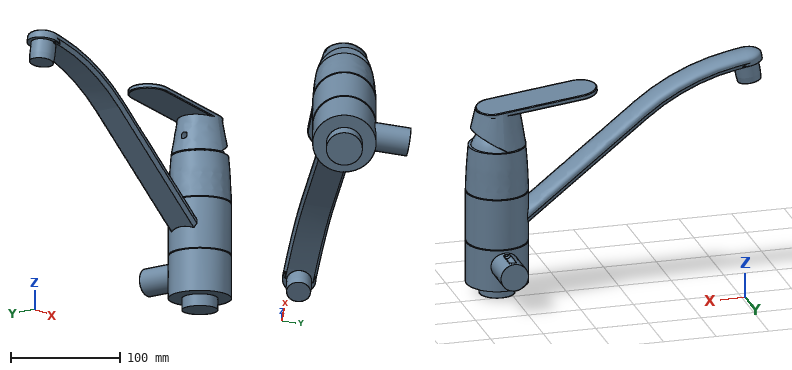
import cadquery as cq
import math


REACH = 251.41
OVERALL_HEIGHT = 212.99
OUTLET_REACH = 59.57

SHANK_DIAMETER = 33.0
BODY_DIAMETER = 58.0
SHOULDER_DIAMETER = 53.0
BASE_Z = 11.0
LOWER_GROOVE_Z = 51.3
UPPER_GROOVE_Z = 100.3
SHOULDER_Z = 144.4
BARREL_BULGE = 0.35
GROOVE_WIDTH = 0.8
GROOVE_DEPTH = 0.5
DOME_RADIUS = 25.2
DOME_CENTER_Z = 136.6

OUTLET_DIAMETER = 26.0
OUTLET_Z = 35.4
SLOT_DIAMETER = 6.5
SLOT_LENGTH = 22.5
SLOT_CENTER_Y = 43.7
SLOT_END_TAPER = 1.5

SPOUT_WIDTH = 30.6
SPOUT_CROWN = 6.0
SPOUT_BELLY = 6.0
SPOUT_SIDE = 2.0
SPOUT_FLAT_WIDTH = 25.6
SPOUT_TIP_ANGLE = 10.0
SPOUT_ROOT_ANGLE = 38.3
SPOUT_TIP_LENGTH = 11.0
SPOUT_BEND_RADIUS = 199.0
SPOUT_ROOT_X = -17.0
FLARE_START_X = -63.0
FLARE_RADIUS = 72.0
FLARE_STEPS = 4

CAP_RADIUS = SPOUT_WIDTH / 2
CAP_BASE_Z = 201.7
AERATOR_DIAMETER = 23.0
AERATOR_LENGTH = 18.7
AERATOR_RIM_LENGTH = 5.7
AERATOR_END_DIAMETER = 22.0

LEVER_ANGLE = 7.0
LEVER_TIP_X = -94.0
LEVER_END_X = 19.5
LEVER_TIP_Z = 193.7
LEVER_WIDTH = 40.5
LEVER_THICKNESS = 4.6
LEVER_TIP_ROUND = 18.0
LEVER_HEEL_ROUND = 15.5
LEVER_EDGE = 0.8
HUB_BASE_Z = 145.6
HUB_BASE_RADIUS = 26.5
HUB_REAR_REACH = 27.8
HUB_FRONT_TAPER = 0.17
HUB_REAR_TAPER = 0.235
HUB_RELIEF_X = -2.3
HUB_RELIEF_ANGLE = 30.0
SCREW_HOLE_DIAMETER = 6.5
SCREW_HOLE_Z = 160.3
SCREW_HOLE_DEPTH = 8.0


def make_body():
    """Revolved shank, body and barrel with two grooves, topped by a dome."""
    shank_r = SHANK_DIAMETER / 2
    body_r = BODY_DIAMETER / 2
    shoulder_r = SHOULDER_DIAMETER / 2
    barrel_mid = ((body_r + shoulder_r) / 2 + BARREL_BULGE, (UPPER_GROOVE_Z + SHOULDER_Z) / 2)
    body = (
        cq.Workplane("XZ")
        .lineTo(shank_r, 0)
        .lineTo(shank_r, BASE_Z)
        .lineTo(body_r, BASE_Z)
        .lineTo(body_r, UPPER_GROOVE_Z)
        .threePointArc(barrel_mid, (shoulder_r, SHOULDER_Z))
        .lineTo(0, SHOULDER_Z)
        .close()
        .revolve(360, (0, 0), (0, 1))
    )
    for groove_z in (LOWER_GROOVE_Z, UPPER_GROOVE_Z):
        groove = (
            cq.Workplane("XY", origin=(0, 0, groove_z - GROOVE_WIDTH / 2))
            .circle(body_r + GROOVE_DEPTH)
            .circle(body_r - GROOVE_DEPTH)
            .extrude(GROOVE_WIDTH)
        )
        body = body.cut(groove)
    dome = cq.Workplane("XY", origin=(0, 0, DOME_CENTER_Z)).sphere(DOME_RADIUS)
    return body.union(dome)


def make_outlet():
    """Side outlet toward +Y with a round-bottomed slot along its top."""
    outlet = (
        cq.Workplane("XZ", origin=(0, 0, OUTLET_Z))
        .circle(OUTLET_DIAMETER / 2)
        .extrude(-OUTLET_REACH)
    )
    slot_r = SLOT_DIAMETER / 2
    edge_height = math.sqrt((OUTLET_DIAMETER / 2) ** 2 - slot_r ** 2)
    slot = (
        cq.Workplane("XZ", origin=(0, SLOT_CENTER_Y - SLOT_LENGTH / 2, OUTLET_Z + edge_height))
        .circle(slot_r)
        .extrude(-SLOT_LENGTH)
        .edges("%CIRCLE")
        .chamfer(SLOT_END_TAPER)
    )
    return outlet.cut(slot)


def direction(angle):
    """Unit XZ vector running toward +X and falling at the given angle."""
    return math.cos(math.radians(angle)), -math.sin(math.radians(angle))


def bend_point(start, angle):
    """Point of the spout bend where it falls at the given angle."""
    start_cos, start_fall = direction(SPOUT_TIP_ANGLE)
    end_cos, end_fall = direction(angle)
    return (
        start[0] + SPOUT_BEND_RADIUS * (start_fall - end_fall),
        start[1] + SPOUT_BEND_RADIUS * (end_cos - start_cos),
    )


def draw_crown(outline, crown):
    """Half ellipse from the right end of the widest line over to its left end."""
    return outline.ellipseArc(CAP_RADIUS, crown, 0, 180, startAtCurrent=True)


def section_plane(center, angle):
    """Plane across the spout, with local X along Y and local Y upward."""
    dx, dz = direction(angle)
    return cq.Plane(origin=(center[0], 0, center[1]), xDir=(0, 1, 0), normal=(dx, 0, dz))


def crown_section(center, crown):
    """Closed crown wire across the straight arm, flat side on its widest line."""
    outline = cq.Workplane(section_plane(center, SPOUT_ROOT_ANGLE)).moveTo(CAP_RADIUS, 0)
    return draw_crown(outline, crown).close().val()


TIP_COS, TIP_FALL = direction(SPOUT_TIP_ANGLE)
TIP_SIN = -TIP_FALL
CAP_BASE_X = CAP_RADIUS * TIP_COS - REACH
CAP_DOME_RISE = math.hypot(CAP_RADIUS * TIP_SIN, SPOUT_CROWN * TIP_COS)
CAP_RIM_HEIGHT = (OVERALL_HEIGHT - CAP_BASE_Z - CAP_DOME_RISE) / TIP_COS


def make_spout():
    """Bent spout arm whose crown flares upward where it meets the body."""
    tip = (CAP_BASE_X + CAP_RIM_HEIGHT * TIP_SIN, CAP_BASE_Z + CAP_RIM_HEIGHT * TIP_COS)
    bend_start = (tip[0] + SPOUT_TIP_LENGTH * TIP_COS, tip[1] - SPOUT_TIP_LENGTH * TIP_SIN)
    mid_angle = (SPOUT_TIP_ANGLE + SPOUT_ROOT_ANGLE) / 2
    bend_mid = bend_point(bend_start, mid_angle)
    bend_end = bend_point(bend_start, SPOUT_ROOT_ANGLE)
    slope = math.tan(math.radians(SPOUT_ROOT_ANGLE))

    def arm_point(x):
        return x, bend_end[1] - slope * (x - bend_end[0])

    path = (
        cq.Workplane("XZ")
        .moveTo(*tip)
        .lineTo(*bend_start)
        .threePointArc(bend_mid, bend_end)
        .lineTo(*arm_point(SPOUT_ROOT_X))
    )
    flat_half = SPOUT_FLAT_WIDTH / 2
    section = cq.Workplane(section_plane(tip, SPOUT_TIP_ANGLE)).moveTo(CAP_RADIUS, 0)
    arm = (
        draw_crown(section, SPOUT_CROWN)
        .lineTo(-CAP_RADIUS, -SPOUT_SIDE)
        .lineTo(-flat_half, -SPOUT_BELLY)
        .lineTo(flat_half, -SPOUT_BELLY)
        .lineTo(CAP_RADIUS, -SPOUT_SIDE)
        .close()
        .sweep(path)
    )

    flare_length = (SPOUT_ROOT_X - FLARE_START_X) / math.cos(math.radians(SPOUT_ROOT_ANGLE))
    flare_wires = []
    for step in range(FLARE_STEPS + 1):
        fraction = step / FLARE_STEPS
        distance = fraction * flare_length
        crown = SPOUT_CROWN + FLARE_RADIUS - math.sqrt(FLARE_RADIUS ** 2 - distance ** 2)
        x = FLARE_START_X + fraction * (SPOUT_ROOT_X - FLARE_START_X)
        flare_wires.append(crown_section(arm_point(x), crown))
    flare = cq.Workplane(obj=cq.Solid.makeLoft(flare_wires))
    return arm.union(flare)


def make_spout_head():
    """Domed cap at the spout tip with the aerator hanging below it."""
    aerator_r = AERATOR_DIAMETER / 2
    profile_plane = cq.Plane(
        origin=(CAP_BASE_X, 0, CAP_BASE_Z), xDir=(TIP_COS, 0, -TIP_SIN), normal=(0, -1, 0)
    )
    return (
        cq.Workplane(profile_plane)
        .moveTo(0, -AERATOR_LENGTH)
        .lineTo(AERATOR_END_DIAMETER / 2, -AERATOR_LENGTH)
        .lineTo(aerator_r, AERATOR_RIM_LENGTH - AERATOR_LENGTH)
        .lineTo(aerator_r, 0)
        .lineTo(CAP_RADIUS, 0)
        .lineTo(CAP_RADIUS, CAP_RIM_HEIGHT)
        .ellipseArc(CAP_RADIUS, SPOUT_CROWN, 0, 90, startAtCurrent=True)
        .close()
        .revolve(360, (0, 0), (0, 1))
    )


def make_lever():
    """Tilted lever plate with rounded ends and chamfered edges."""
    length = (LEVER_END_X - LEVER_TIP_X) / math.cos(math.radians(LEVER_ANGLE))
    dx, dz = direction(LEVER_ANGLE)
    plane = cq.Plane(origin=(LEVER_TIP_X, 0, LEVER_TIP_Z), xDir=(dx, 0, dz), normal=(-dz, 0, dx))
    half = LEVER_WIDTH / 2
    return (
        cq.Workplane(plane)
        .moveTo(LEVER_TIP_ROUND, -half)
        .lineTo(length - LEVER_HEEL_ROUND, -half)
        .ellipseArc(LEVER_HEEL_ROUND, half, -90, 90, startAtCurrent=True)
        .lineTo(LEVER_TIP_ROUND, half)
        .ellipseArc(LEVER_TIP_ROUND, half, 90, 270, startAtCurrent=True)
        .close()
        .extrude(-LEVER_THICKNESS)
        .faces(cq.ParallelDirSelector(plane.zDir))
        .edges()
        .chamfer(LEVER_EDGE)
    )


def hub_half(reach, taper, start_angle):
    """Half of the hub on one side of the YZ plane, tapered at its own rate along X."""

    def half_ellipse(z):
        rise = z - HUB_BASE_Z
        half_width = HUB_BASE_RADIUS - HUB_FRONT_TAPER * rise
        return (
            cq.Workplane("XY", origin=(0, 0, z))
            .moveTo(0, half_width * math.sin(math.radians(start_angle)))
            .ellipseArc(reach - taper * rise, half_width, start_angle, start_angle + 180, startAtCurrent=True)
            .close()
            .val()
        )

    wires = [half_ellipse(HUB_BASE_Z), half_ellipse(LEVER_TIP_Z)]
    return cq.Workplane(obj=cq.Solid.makeLoft(wires, True))


def make_hub():
    """Tapered hub under the lever, relieved at the back to clear the dome."""
    front = hub_half(HUB_BASE_RADIUS, HUB_FRONT_TAPER, 90)
    rear = hub_half(HUB_REAR_REACH, HUB_REAR_TAPER, -90)
    hub = front.union(rear, clean=False)
    far_x = 2 * HUB_BASE_RADIUS
    lever_slope = math.tan(math.radians(LEVER_ANGLE))
    relief_slope = math.tan(math.radians(HUB_RELIEF_ANGLE))

    def hub_top_z(x):
        return LEVER_TIP_Z - lever_slope * (x - LEVER_TIP_X) - LEVER_EDGE

    side_outline = (
        cq.Workplane("XZ")
        .moveTo(-far_x, HUB_BASE_Z)
        .lineTo(HUB_RELIEF_X, HUB_BASE_Z)
        .lineTo(far_x, HUB_BASE_Z + relief_slope * (far_x - HUB_RELIEF_X))
        .lineTo(far_x, hub_top_z(far_x))
        .lineTo(-far_x, hub_top_z(-far_x))
        .close()
        .extrude(far_x, both=True)
    )
    screw_hole = (
        cq.Workplane("YZ", origin=(-HUB_BASE_RADIUS, 0, SCREW_HOLE_Z))
        .circle(SCREW_HOLE_DIAMETER / 2)
        .extrude(SCREW_HOLE_DEPTH + HUB_FRONT_TAPER * (SCREW_HOLE_Z - HUB_BASE_Z))
    )
    return hub.intersect(side_outline).cut(screw_hole)


result = (
    make_body()
    .union(make_outlet())
    .union(make_spout())
    .union(make_spout_head())
    .union(make_hub())
    .union(make_lever())
)